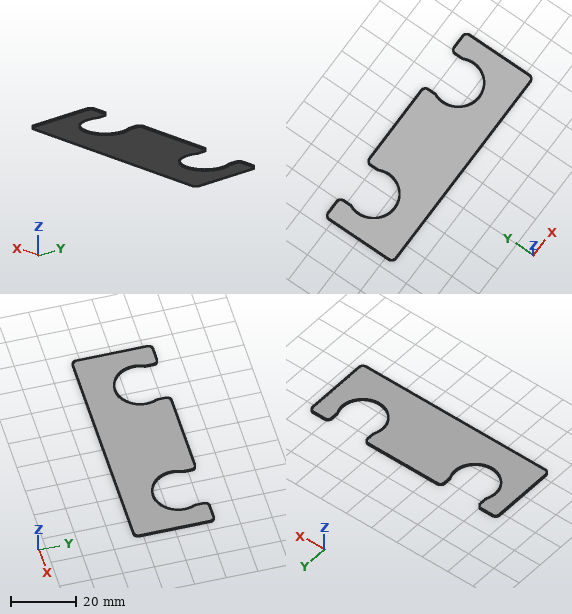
import cadquery as cq

LENGTH = 73.66
WIDTH = 25.4
THICKNESS = 0.5
CORNER_RADIUS = 1.5

NOTCH_SPACING = 44.45
NOTCH_DIAMETER = 15.8
NECK_WIDTH = 14.2
NOTCH_DEPTH_TO_CENTER = 7.7

BACK_EDGE_Y = WIDTH / 2
NOTCH_CENTER_Y = BACK_EDGE_Y - NOTCH_DEPTH_TO_CENTER


def make_plate():
    return cq.Workplane("XY").rect(LENGTH, WIDTH).extrude(THICKNESS)


def make_notch(center_x):
    """Round seat joined to the +Y edge by a slightly narrower straight neck."""
    seat = (
        cq.Workplane("XY")
        .center(center_x, NOTCH_CENTER_Y)
        .circle(NOTCH_DIAMETER / 2)
        .extrude(THICKNESS)
    )
    neck = (
        cq.Workplane("XY")
        .center(center_x, NOTCH_CENTER_Y + NOTCH_DEPTH_TO_CENTER / 2)
        .rect(NECK_WIDTH, NOTCH_DEPTH_TO_CENTER)
        .extrude(THICKNESS)
    )
    return seat.union(neck)


def round_corners(plate):
    """Round the plate corners and the notch mouths, all on the two long edges."""
    back_corners = plate.faces(">Y").edges("|Z")
    front_corners = plate.faces("<Y").edges("|Z")
    return plate.newObject(back_corners.vals() + front_corners.vals()).fillet(CORNER_RADIUS)


result = make_plate()
for side in (-1, 1):
    result = result.cut(make_notch(side * NOTCH_SPACING / 2))
result = round_corners(result)